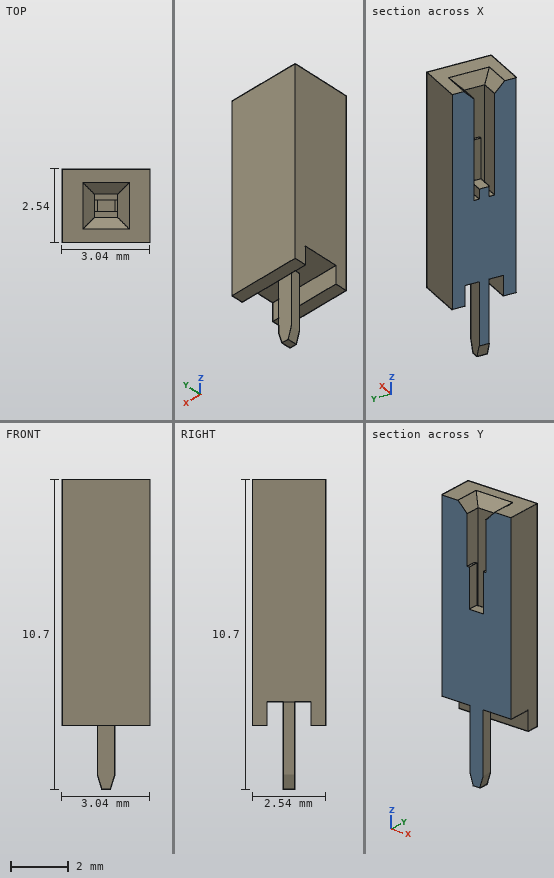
import cadquery as cq

body_x = 3.04
body_y = 2.54
total_height = 10.7
pin_length = 2.2
body_height = total_height - pin_length

channel_width = 1.51
channel_depth = 0.81

funnel_mouth = 1.6
funnel_throat = 0.8
funnel_depth = (funnel_mouth - funnel_throat) / 2
shaft_depth = 4.0

pin_width = 0.61
pin_thickness = 0.41
tip_width = 0.3
tip_height = 0.5

fork_height = 2.0
fork_root_height = 0.4


def make_housing():
    housing = (
        cq.Workplane("XY")
        .workplane(offset=pin_length)
        .rect(body_x, body_y)
        .extrude(body_height)
    )
    channel = (
        cq.Workplane("XY")
        .workplane(offset=pin_length)
        .rect(body_x, channel_width)
        .extrude(channel_depth)
    )
    return housing.cut(channel)


def make_socket():
    funnel = (
        cq.Workplane("XY")
        .workplane(offset=total_height)
        .rect(funnel_mouth, funnel_mouth)
        .workplane(offset=-funnel_depth)
        .rect(funnel_throat, funnel_throat)
        .loft(ruled=True)
    )
    shaft = (
        cq.Workplane("XY")
        .workplane(offset=total_height - funnel_depth)
        .rect(funnel_throat, funnel_throat)
        .extrude(-shaft_depth)
    )
    return funnel.union(shaft)


def make_pin():
    pin_top = pin_length + channel_depth
    return (
        cq.Workplane("XZ")
        .polyline([
            (-tip_width / 2, 0),
            (tip_width / 2, 0),
            (pin_width / 2, tip_height),
            (pin_width / 2, pin_top),
            (-pin_width / 2, pin_top),
            (-pin_width / 2, tip_height),
        ])
        .close()
        .extrude(pin_thickness / 2, both=True)
    )


def make_fork():
    shaft_floor = total_height - funnel_depth - shaft_depth
    fork = (
        cq.Workplane("XY")
        .workplane(offset=shaft_floor)
        .rect(funnel_throat, pin_thickness)
        .extrude(fork_height)
    )
    gap = (
        cq.Workplane("XY")
        .workplane(offset=shaft_floor + fork_root_height)
        .rect(pin_width, pin_thickness)
        .extrude(fork_height - fork_root_height)
    )
    return fork.cut(gap)


result = make_housing().cut(make_socket()).union(make_pin()).union(make_fork())